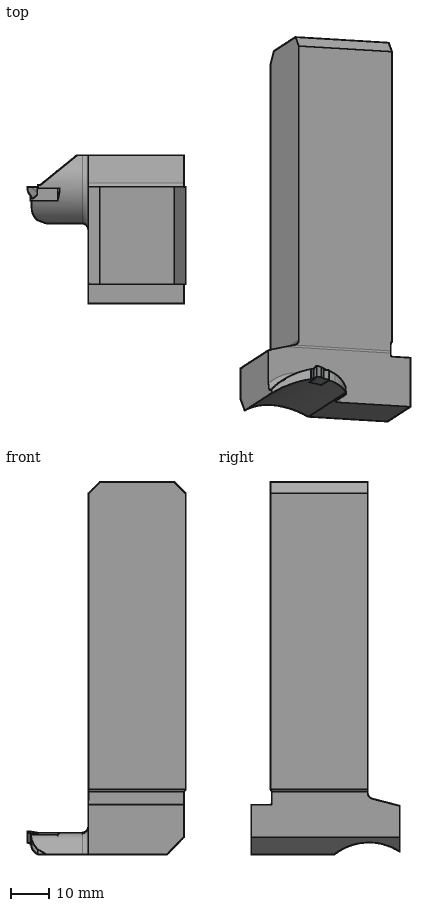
import cadquery as cq
import math

shank_size = 25.4
total_height = 97.09
total_length = 41.4
shank_top_chamfer = 3.0
shank_bottom = 16.4
right_relief = 0.5
front_relief = 0.35
bevel_height = 0.6

head_offset = 0.1
head_right = shank_size - right_relief
head_front = -5.0
head_back = 33.71
foot_height = 13.05
back_wall_height = 12.75
back_slope_angle = 14.5
back_fillet = 1.5
foot_fillet = 0.3
step_low = 14.0
step_high = 14.6
heel_chamfer_x = 4.45
heel_chamfer_z = 4.6

nose_top = 5.77
nose_radius = 10.8
nose_axis_y = shank_size
nose_axis_z = nose_top - nose_radius
nose_fillet = 1.5
nose_end = -14.85
corner_start_y = 20.1
corner_radius = 4.43
corner_end_y = 16.7
chamfer_end_x = -10.9
seat_shoulder_x = -13.2
seat_shoulder_y = 25.95
slant_start_x = -12.5
slant_end_x = -2.95

groove_top = 3.15
groove_radius = 14.7
groove_axis_y = 25.7
groove_axis_z = groove_top - groove_radius

tip_x = shank_size - total_length
tip_y = shank_size
tip_top = 6.05
tip_back_top = 5.75
rake_start_x = -15.0
blade_front = 21.75
blade_back = 25.05
blade_top = 5.25
blade_end = -8.0
seat_runout = 0.55
tip_flank = (-15.8, 24.1)
tip_heel = (-15.15, 23.2)
breaker_x = -13.3
breaker_y = 23.4
breaker_end = (-14.5, 22.3)


def x_cylinder(radius, axis_y, axis_z, x_start, x_end):
    """Round bar along X."""
    plane = cq.Workplane("YZ", origin=(x_start, axis_y, axis_z))
    return plane.circle(radius).extrude(x_end - x_start)


def prism(outline, z_low, z_high):
    """Upright prism over a closed XY outline."""
    return cq.Workplane("XY").workplane(offset=z_low).polyline(outline).close().extrude(z_high - z_low)


def make_shank():
    height = total_height - shank_bottom
    bar = cq.Workplane("XY", origin=(0, 0, shank_bottom)).box(shank_size, shank_size, height, centered=False)
    bar = bar.faces(">Z").edges("|Y").chamfer(shank_top_chamfer)
    bevel_top = shank_bottom + bevel_height
    right_bevel = (
        cq.Workplane("XZ")
        .polyline([(head_right, shank_bottom), (shank_size, shank_bottom), (shank_size, bevel_top)])
        .close()
        .extrude(-shank_size)
    )
    front_bevel = (
        cq.Workplane("YZ")
        .polyline([(0, shank_bottom), (front_relief, shank_bottom), (0, bevel_top)])
        .close()
        .extrude(shank_size)
    )
    return bar.cut(right_bevel).cut(front_bevel)


def make_head():
    slope_rise = (head_back - shank_size) * math.tan(math.radians(back_slope_angle))
    slope_top = back_wall_height + slope_rise
    side_outline = [
        (head_front, 0),
        (head_back, 0),
        (head_back, back_wall_height),
        (shank_size, slope_top),
        (shank_size, shank_bottom),
        (front_relief, shank_bottom),
        (front_relief, foot_height),
        (head_front, foot_height),
    ]
    head = (
        cq.Workplane("YZ", origin=(-head_offset, 0, 0))
        .polyline(side_outline)
        .close()
        .extrude(head_right + head_offset)
    )
    back_corner = cq.selectors.NearestToPointSelector((head_right / 2, shank_size, slope_top))
    foot_corner = cq.selectors.NearestToPointSelector((head_right / 2, front_relief, foot_height))
    head = head.edges("|X").edges(back_corner).fillet(back_fillet)
    head = head.edges("|X").edges(foot_corner).fillet(foot_fillet)

    step = (
        cq.Workplane("XZ", origin=(0, head_front, 0))
        .polyline([(-head_offset, step_low), (0, step_high), (0, shank_bottom), (-head_offset, shank_bottom)])
        .close()
        .extrude(head_front - head_back)
    )
    heel = (
        cq.Workplane("XZ", origin=(0, head_front, 0))
        .polyline([(head_right - heel_chamfer_x, 0), (head_right, 0), (head_right, heel_chamfer_z)])
        .close()
        .extrude(head_front - head_back)
    )
    return head.cut(step).cut(heel)


def make_nose():
    corner_centre_x = nose_end + corner_radius
    corner_drop = corner_start_y - corner_end_y
    corner_end_x = corner_centre_x - math.sqrt(corner_radius**2 - corner_drop**2)
    nose_front = nose_axis_y - math.sqrt(nose_radius**2 - nose_axis_z**2)
    outline = (
        cq.Workplane("XY")
        .moveTo(-head_offset, head_back)
        .lineTo(slant_end_x, head_back)
        .lineTo(slant_start_x, seat_shoulder_y)
        .lineTo(seat_shoulder_x, seat_shoulder_y)
        .lineTo(seat_shoulder_x, blade_back)
        .lineTo(nose_end, blade_back)
        .lineTo(nose_end, corner_start_y)
        .radiusArc((corner_end_x, corner_end_y), -corner_radius)
        .lineTo(chamfer_end_x, nose_front)
        .lineTo(-head_offset, nose_front)
        .close()
        .extrude(nose_top)
    )
    return outline.intersect(x_cylinder(nose_radius, nose_axis_y, nose_axis_z, tip_x, 0))


def make_nose_fillet():
    """Concave ring blending the nose into the -X face of the head."""
    root_x = -head_offset
    outer = nose_radius + nose_fillet
    ring = (
        cq.Workplane("XY", origin=(0, nose_axis_y, nose_axis_z))
        .moveTo(root_x, 0)
        .lineTo(root_x, outer)
        .radiusArc((root_x - nose_fillet, nose_radius), nose_fillet)
        .lineTo(root_x - nose_fillet, 0)
        .close()
        .revolve(360, (0, 0, 0), (1, 0, 0))
    )
    limits = cq.Workplane("XY", origin=(tip_x, head_front, 0)).box(
        -tip_x, head_back - head_front, total_height, centered=False
    )
    return ring.intersect(limits)


def make_seat():
    """Pocket for the insert, open above the blade, with a sloping end wall there."""
    return (
        cq.Workplane("XZ", origin=(0, blade_front, 0))
        .moveTo(tip_x, 0)
        .lineTo(blade_end, 0)
        .lineTo(blade_end, blade_top)
        .lineTo(blade_end + seat_runout, nose_top)
        .lineTo(tip_x, nose_top)
        .close()
        .extrude(blade_front - blade_back)
    )


def make_insert():
    blade_outline = [
        (tip_x, tip_y),
        tip_flank,
        tip_heel,
        (tip_heel[0], blade_front),
        (blade_end, blade_front),
        (blade_end, blade_back),
        (breaker_x, blade_back),
        (breaker_x, tip_y),
    ]
    tip_outline = [
        (tip_x, tip_y),
        tip_flank,
        tip_heel,
        breaker_end,
        (breaker_x, breaker_y),
        (breaker_x, tip_y),
    ]
    blade = prism(blade_outline, 0, blade_top)
    rake_outline = [
        (tip_x, blade_top),
        (tip_x, tip_top),
        (rake_start_x, tip_top),
        (breaker_x, tip_back_top),
        (breaker_x, blade_top),
    ]
    long_rake = cq.Workplane("XZ").polyline(rake_outline).close().extrude(-head_back)
    cross_rake = (
        cq.Workplane("YZ", origin=(tip_x, 0, 0))
        .polyline([(blade_front, blade_top), (tip_y, tip_top), (tip_y, blade_top)])
        .close()
        .extrude(-tip_x)
    )
    tip = prism(tip_outline, blade_top, tip_top).intersect(long_rake).intersect(cross_rake)
    return blade.union(tip).cut(groove)


groove = x_cylinder(groove_radius, groove_axis_y, groove_axis_z, tip_x, shank_size)

insert = make_insert()
holder = make_shank().union(make_head()).union(make_nose()).union(make_nose_fillet())
holder = holder.cut(groove).cut(make_seat())

result = cq.Compound.makeCompound([holder.val(), insert.val()])